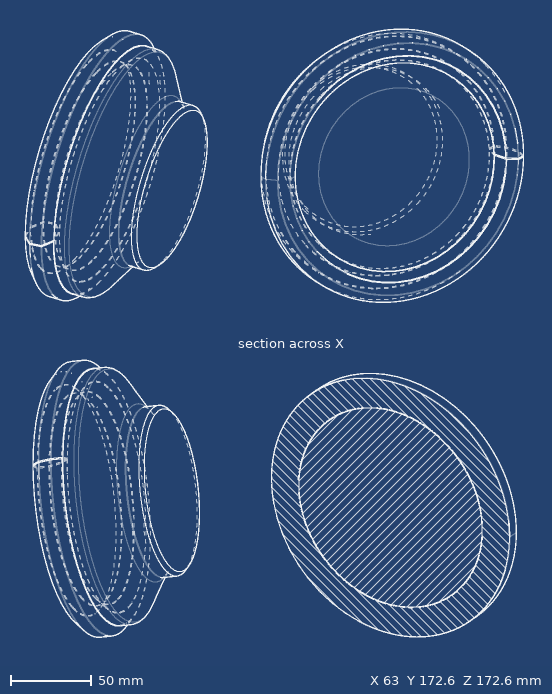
import cadquery as cq
import math


OUTER_RADIUS = 86.3
RING_WIDTH = 19.8
CORNER_ROUND = 0.7
CORNER_CUT = RING_WIDTH / (2 + math.sqrt(2))
RING_INNER_RADIUS = OUTER_RADIUS - RING_WIDTH
SEAT_RADIUS = RING_INNER_RADIUS + CORNER_CUT

SEAM_WIDTH = 0.9
SEAM_DEPTH = 0.2
SEAM_START = -1.0
SEAM_RISE = 3.5
SEAM_CURVE = 1.5
SEAM_RUN = 25.9
SEAM_EXTENSION = 17.3

DISH_RADIUS = 50.4
DISH_DEPTH = 1.2
SHOULDER_RADIUS = 161.0 / 2
SHOULDER_END = 27.1
FLANK_START = (29.7, 79.2)
FLANK_END = (46.5, 55.7)
FLANK_HOLLOW = 0.09
NECK_RADIUS = 106.7 / 2
NECK_START = 51.3
HUB_RADIUS = 107 / 2
HUB_START = 52.0
HUB_END = 63.0
HUB_CHAMFER = 2.6


def revolve_about_x(profile):
    return profile.close().revolve(360, (0, 0, 0), (1, 0, 0))


def neck_arc_middle():
    """Middle of the arc that leaves the flank and ends parallel to X at the neck."""
    run = NECK_START - FLANK_END[0]
    drop = FLANK_END[1] - NECK_RADIUS
    radius = (run**2 + drop**2) / (2 * drop)
    half_angle = math.asin(run / radius) / 2
    return (
        NECK_START - radius * math.sin(half_angle),
        NECK_RADIUS + radius * (1 - math.cos(half_angle)),
    )


def make_core():
    flank_middle = (
        (FLANK_START[0] + FLANK_END[0]) / 2 - FLANK_HOLLOW,
        (FLANK_START[1] + FLANK_END[1]) / 2 - FLANK_HOLLOW,
    )
    profile = (
        cq.Workplane("XY")
        .moveTo(CORNER_CUT + DISH_DEPTH, 0)
        .lineTo(CORNER_CUT + DISH_DEPTH, DISH_RADIUS)
        .lineTo(CORNER_CUT, RING_INNER_RADIUS)
        .lineTo(RING_WIDTH - CORNER_CUT, RING_INNER_RADIUS)
        .lineTo(RING_WIDTH, SEAT_RADIUS)
        .lineTo(RING_WIDTH, SHOULDER_RADIUS)
        .lineTo(SHOULDER_END, SHOULDER_RADIUS)
        .tangentArcPoint(FLANK_START, relative=False)
        .threePointArc(flank_middle, FLANK_END)
        .threePointArc(neck_arc_middle(), (NECK_START, NECK_RADIUS))
        .lineTo(HUB_START, HUB_RADIUS)
        .lineTo(HUB_END - HUB_CHAMFER, HUB_RADIUS)
        .lineTo(HUB_END, HUB_RADIUS - HUB_CHAMFER)
        .lineTo(HUB_END, 0)
    )
    return revolve_about_x(profile)


def make_seam_cutter():
    """Thin curved sheet, constant along the direction where X + Y stays the same."""
    diagonal = math.sqrt(2)
    start = -SEAM_EXTENSION / diagonal
    middle = SEAM_RUN / 2 / diagonal
    end = (SEAM_RUN + SEAM_EXTENSION) / diagonal

    def height(distance):
        return SEAM_START + SEAM_RISE * (max(distance, 0) * diagonal / SEAM_RUN) ** SEAM_CURVE

    half = SEAM_WIDTH / 2
    plane = cq.Plane(origin=(0, -OUTER_RADIUS, 0), xDir=(1, 1, 0), normal=(1, -1, 0))
    return (
        cq.Workplane(plane)
        .moveTo(start, height(0) - half)
        .lineTo(0, height(0) - half)
        .threePointArc((middle, height(middle) - half), (end, height(end) - half))
        .lineTo(end, height(end) + half)
        .threePointArc((middle, height(middle) + half), (0, height(0) + half))
        .lineTo(start, height(0) + half)
        .close()
        .extrude(2 * RING_WIDTH, both=True)
    )


def octagon_ring(inset):
    """Ring with every side of its octagonal section moved inward by the inset."""
    front = inset
    rear = RING_WIDTH - inset
    inner = RING_INNER_RADIUS + inset
    outer = OUTER_RADIUS - inset
    cut = CORNER_CUT * (1 - 2 * inset / RING_WIDTH)
    profile = (
        cq.Workplane("XY")
        .moveTo(front, inner + cut)
        .lineTo(front, outer - cut)
        .lineTo(front + cut, outer)
        .lineTo(rear - cut, outer)
        .lineTo(rear, outer - cut)
        .lineTo(rear, inner + cut)
        .lineTo(rear - cut, inner)
        .lineTo(front + cut, inner)
    )
    return revolve_about_x(profile).edges("%CIRCLE").fillet(CORNER_ROUND)


def make_ring():
    groove = make_seam_cutter().cut(octagon_ring(SEAM_DEPTH))
    return octagon_ring(0).cut(groove)


core = make_core()
ring = make_ring()
result = cq.Compound.makeCompound([core.val(), ring.solids().val()])